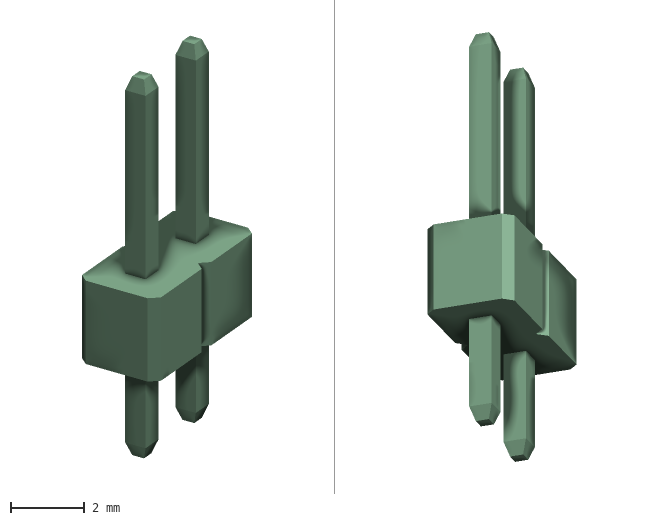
import cadquery as cq

total_length = 11.5
pitch = 2.54
pin_count = 2

block_width = pitch
block_height = 2.53
tail_length = 3.0
corner_cut_x = 0.28
corner_cut_y = 0.24

pin_width = 0.65
tip_width = 0.38
tip_length = 0.4

pin_bottom = -total_length / 2
block_bottom = pin_bottom + tail_length


def make_block():
    """Square block with its four vertical corners cut off."""
    half = block_width / 2
    inner_x = half - corner_cut_x
    inner_y = half - corner_cut_y
    outline = [
        (inner_x, half), (-inner_x, half),
        (-half, inner_y), (-half, -inner_y),
        (-inner_x, -half), (inner_x, -half),
        (half, -inner_y), (half, inner_y),
    ]
    return (
        cq.Workplane("XY").workplane(offset=block_bottom)
        .polyline(outline).close().extrude(block_height)
    )


def make_tip(base_z, direction):
    """Tapered pin end, pointing up (direction 1) or down (direction -1)."""
    return (
        cq.Workplane("XY").workplane(offset=base_z)
        .rect(pin_width, pin_width)
        .workplane(offset=direction * tip_length)
        .rect(tip_width, tip_width)
        .loft(ruled=True)
    )


def make_pin():
    """Square pin tapered at both ends."""
    shaft_length = total_length - 2 * tip_length
    shaft = cq.Workplane("XY").box(pin_width, pin_width, shaft_length)
    upper_tip = make_tip(shaft_length / 2, 1)
    lower_tip = make_tip(-shaft_length / 2, -1)
    return shaft.union(upper_tip).union(lower_tip)


def make_header_unit(y_centre):
    """One header position: a block and its pin as a single solid."""
    return make_block().union(make_pin()).translate((0, y_centre, 0))


header_units = []
for index in range(pin_count):
    y_centre = (index - (pin_count - 1) / 2) * pitch
    header_units.append(make_header_unit(y_centre).val())

result = cq.Compound.makeCompound(
    [solid for unit in header_units for solid in unit.Solids()]
)